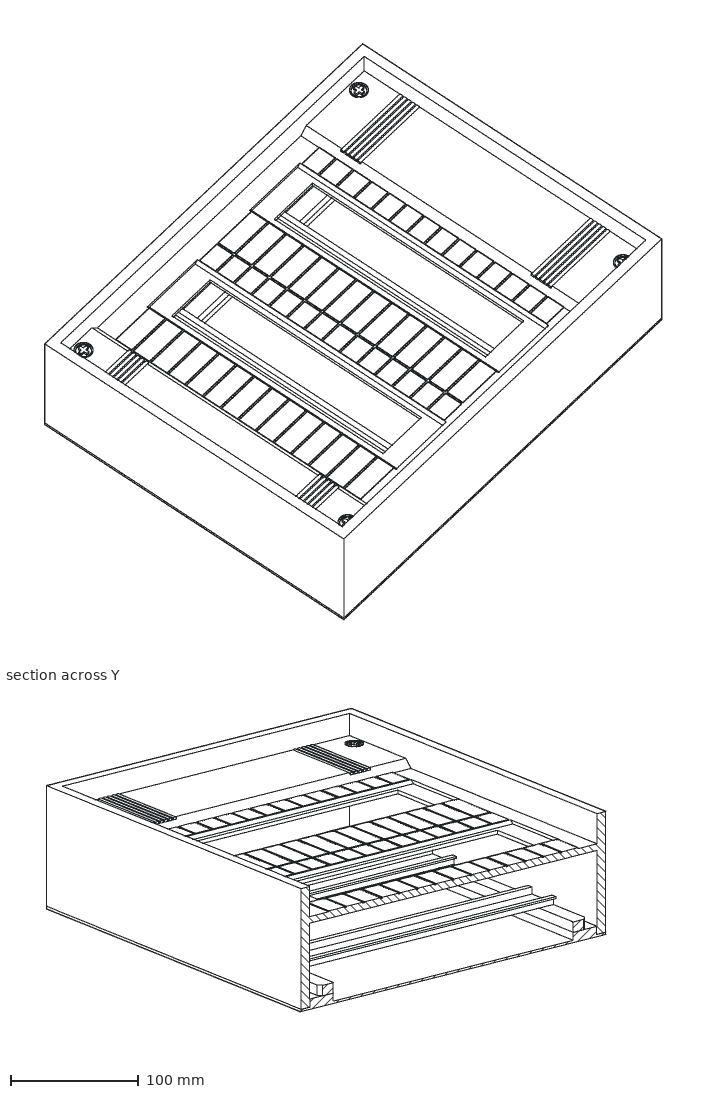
import cadquery as cq
width = 305.0
length = 390.0
height = 102.0

plate_thick = 2.5
ledge_top = 9.0
ledge_inner_x = 119.7

wall = 9.0
inner_width = width - 2 * wall
inner_length = length - 2 * wall
panel_drop = 18.5
step_drop = 6.5
panel_thick = 6.0
end_z = height - panel_drop
middle_z = end_z - step_drop
middle_top_y = 108.5
middle_bottom_y = -141.0

row_pitch = 125.5
first_row_y = 56.0
row_centres = [first_row_y, first_row_y - row_pitch]
recess_width = 253.5
recess_height = 61.5
recess_depth = 2.7
window_width = 215.3
window_height = 46.8

module_count = 14
module_pitch = 18.0
module_gap = 1.5
marker_rise = 0.8
marker_split_y = -16.5

rib_count = 5
rib_pitch = 4.3
rib_width = 3.0
rib_rise = 0.6
rib_overhang = 1.5
rib_strip_x = 97.0

screw_x = 134.5
screw_y = 169.0
seat_radius = 7.5
head_radius = 6.2
rim_depth = 0.8
seat_depth = 2.0
cross_length = 8.5
cross_width = 2.7

upright_width = 14.0
upright_top = 17.5
upright_length = 259.0
upright_chamfer = 6.2
rail_width = 35.0
rail_channel = 25.5
rail_height = 7.5
rail_sheet = 1.5


def box(x_size, y_size, z_low, z_high, x=0.0, y=0.0):
    """Box centred on (x, y) between two heights."""
    return (
        cq.Workplane("XY", origin=(x, y, z_low))
        .rect(x_size, y_size)
        .extrude(z_high - z_low)
    )


def bar_along_x(points, bar_width):
    """Closed (y, z) outline extruded along X, centred on X = 0."""
    return cq.Workplane("YZ").polyline(points).close().extrude(bar_width / 2, both=True)


def make_base():
    base = box(width, length, 0, plate_thick)
    ledge_width = inner_width / 2 - ledge_inner_x
    for side in (-1, 1):
        x = side * (ledge_inner_x + ledge_width / 2)
        base = base.union(box(ledge_width, inner_length, plate_thick, ledge_top, x))
    return base


def make_panel():
    """Front panel, lower in the middle, with 45 degree steps up to both end areas."""
    end_y = inner_length / 2
    surface = [
        (-end_y, end_z),
        (middle_bottom_y - step_drop, end_z),
        (middle_bottom_y, middle_z),
        (middle_top_y, middle_z),
        (middle_top_y + step_drop, end_z),
        (end_y, end_z),
    ]
    underside = [(y, z - panel_thick) for y, z in reversed(surface)]
    return bar_along_x(surface + underside, inner_width)


def make_recess_cutter(y):
    """Recess whose upper and lower sides slope at 45 degrees, with its window."""
    half = recess_height / 2
    floor_z = middle_z - recess_depth
    recess = bar_along_x(
        [
            (y - half, middle_z),
            (y - half + recess_depth, floor_z),
            (y + half - recess_depth, floor_z),
            (y + half, middle_z),
        ],
        recess_width,
    )
    return recess.union(box(window_width, window_height, middle_z - panel_thick, middle_z, 0, y))


def make_markers():
    """Rows of raised rectangles, one per module."""
    half = recess_height / 2
    rows = [
        (row_centres[0] + half, middle_top_y),
        (marker_split_y + module_gap / 2, row_centres[0] - half),
        (row_centres[1] + half, marker_split_y - module_gap / 2),
        (middle_bottom_y, row_centres[1] - half),
    ]
    markers = cq.Workplane("XY")
    for low_y, high_y in rows:
        row = (
            cq.Workplane("XY", origin=(0, (low_y + high_y) / 2, middle_z))
            .rarray(module_pitch, 4, module_count, 1)
            .rect(module_pitch - module_gap, high_y - low_y)
            .extrude(marker_rise)
        )
        markers = markers.add(row)
    return markers


def make_ribs():
    """Round-topped ribs along Y on both end areas, slightly overhanging the panel steps."""
    end_y = inner_length / 2
    half = rib_width / 2
    foot_z = end_z - rib_overhang
    spans = [
        (-end_y, middle_bottom_y - step_drop + rib_overhang),
        (middle_top_y + step_drop - rib_overhang, end_y),
    ]
    ribs = cq.Workplane("XY")
    for low_y, high_y in spans:
        for side in (-1, 1):
            for index in range(rib_count):
                x = side * rib_strip_x + (index - (rib_count - 1) / 2) * rib_pitch
                rib = (
                    cq.Workplane("XZ", origin=(x, high_y, 0))
                    .moveTo(-half, foot_z)
                    .lineTo(-half, end_z)
                    .threePointArc((0, end_z + rib_rise), (half, end_z))
                    .lineTo(half, foot_z)
                    .close()
                    .extrude(high_y - low_y)
                )
                ribs = ribs.add(rib)
    return ribs


def make_screw_cutter():
    """Stepped round seats that leave a cross standing in the middle of each."""
    places = [(x, y) for x in (-screw_x, screw_x) for y in (-screw_y, screw_y)]
    top = cq.Workplane("XY", origin=(0, 0, end_z)).pushPoints(places)
    rim = top.circle(seat_radius).extrude(-rim_depth)
    seat = top.circle(head_radius).extrude(-seat_depth)
    cross = top.rect(cross_length, cross_width).extrude(-seat_depth)
    cross = cross.union(top.rect(cross_width, cross_length).extrude(-seat_depth))
    return rim.union(seat).cut(cross)


def make_hood():
    hood = box(width, length, plate_thick, height)
    hood = hood.cut(box(inner_width, inner_length, plate_thick, height))
    hood = hood.union(make_panel())
    for detail in make_markers().vals() + make_ribs().vals():
        hood = hood.union(cq.Workplane(detail))
    for y in row_centres:
        hood = hood.cut(make_recess_cutter(y))
    return hood.cut(make_screw_cutter())


def make_rail(y, rail_length):
    """Hat rail with its channel downward and a flange along each edge."""
    top = upright_top + rail_height
    half = rail_width / 2
    channel = rail_channel / 2
    right = [
        (channel + rail_sheet, upright_top),
        (channel + rail_sheet, top - rail_sheet),
        (half, top - rail_sheet),
        (half, top),
        (channel, top),
        (channel, upright_top + rail_sheet),
    ]
    left = [(-u, z) for u, z in reversed(right)]
    outline = [(y + u, z) for u, z in right + left]
    return bar_along_x(outline, rail_length)


def make_mounting_frame():
    """Two uprights with chamfered outer corners, joined by the rails on top of them."""
    x = ledge_inner_x + upright_width / 2
    right = box(upright_width, upright_length, ledge_top, upright_top, x)
    right = right.edges("|Z and >X").chamfer(upright_chamfer)
    frame = right.union(right.mirror("YZ"))
    for y in row_centres:
        frame = frame.union(make_rail(y, 2 * (ledge_inner_x + upright_width)))
    return frame


base = make_base()
hood = make_hood()
mounting_frame = make_mounting_frame()

result = cq.Compound.makeCompound([base.val(), hood.val(), mounting_frame.val()])